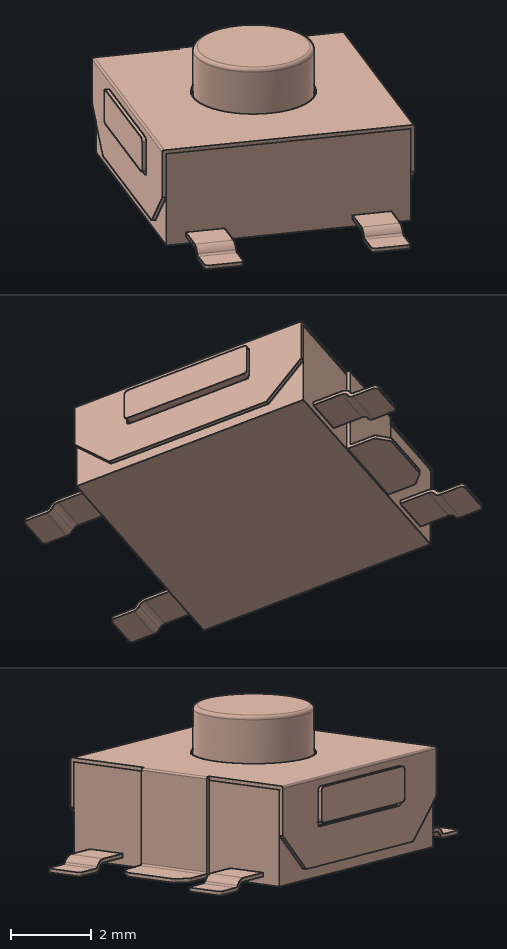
import cadquery as cq
import math


sheet = 0.1
bend_radius = 0.05

cover_size = 6.48
cover_top = 2.55
opening_diameter = 3.1
flap_bottom = 0.3
flap_chamfer = 0.99
window_length = 3.5
window_bottom = 1.29
window_top = 2.3
window_radius = 0.1
strap_width = 2.0
tab_reach = 4.35
tab_chamfer = 0.3
tab_radius = 0.1

housing_length = cover_size
housing_width = cover_size - 2 * sheet
housing_height = cover_top - sheet
boss_span = 6.7
boss_gap = 0.1

button_diameter = 3.0
button_top = 3.75
button_fillet = 0.1

terminal_span = 10.1
terminal_width = 1.0
terminal_offset = 2.14
terminal_lift = 0.2
crest_x = 4.05
foot_radius = 0.1
crest_radius = 0.29
heel_radius = 0.08


def make_rounded_pad(length, bottom, top, inner_y, outer_y):
    """Upright plate with rounded corners, symmetrical in X, from inner_y to outer_y."""
    return (
        cq.Workplane("XY")
        .box(length, outer_y - inner_y, top - bottom, centered=(True, False, False))
        .translate((0, inner_y, bottom))
        .edges("|Y")
        .fillet(window_radius)
    )


def make_housing():
    """Block with a snap boss on each of the two faces under the cover flaps."""
    block = cq.Workplane("XY").box(housing_length, housing_width, housing_height, centered=(True, True, False))
    boss = make_rounded_pad(
        window_length, window_bottom + boss_gap, window_top, housing_width / 2 - sheet, boss_span / 2
    )
    return block.union(boss).union(boss.mirror("XZ"))


def make_channel():
    """Top plate with two side flaps, each with cut-off lower corners."""
    outer = (
        cq.Workplane("XY")
        .box(cover_size, cover_size, cover_top - flap_bottom, centered=(True, True, False))
        .translate((0, 0, flap_bottom))
        .edges("|X and >Z")
        .fillet(bend_radius)
        .edges("|Y and <Z")
        .chamfer(flap_chamfer)
    )
    inner = cq.Workplane("XY").box(cover_size, housing_width, housing_height, centered=(True, True, False))
    return outer.cut(inner)


def make_strap():
    """Strap bent down from the top plate along the housing, ending in a solder tab."""
    inner_x = -cover_size / 2
    outer_x = inner_x - sheet
    strap = (
        cq.Workplane("XZ")
        .moveTo(inner_x + sheet, cover_top)
        .lineTo(outer_x, cover_top)
        .lineTo(outer_x, sheet)
        .lineTo(-tab_reach, sheet)
        .lineTo(-tab_reach, 0)
        .lineTo(inner_x, 0)
        .lineTo(inner_x, housing_height)
        .lineTo(inner_x + sheet, housing_height)
        .close()
        .extrude(strap_width / 2, both=True)
    )
    fold = cq.selectors.NearestToPointSelector((outer_x, 0, cover_top))
    tab_inside = cq.selectors.NearestToPointSelector((outer_x, 0, sheet))
    tab_outside = cq.selectors.NearestToPointSelector((inner_x, 0, 0))
    for bend in (fold, tab_inside, tab_outside):
        strap = strap.edges(bend).fillet(bend_radius)
    strap = strap.edges("|Z and <X").chamfer(tab_chamfer)
    tab_corners = cq.selectors.BoxSelector(
        (-tab_reach - sheet, -strap_width, -sheet), (outer_x - 2 * bend_radius, strap_width, 2 * sheet)
    )
    return strap.edges(tab_corners).edges("|Z").fillet(tab_radius)


def make_cover():
    """Channel and strap in one piece, with the button opening and the snap windows."""
    opening = cq.Workplane("XY").circle(opening_diameter / 2).extrude(cover_top)
    window = make_rounded_pad(window_length, window_bottom, window_top, housing_width / 2, cover_size / 2)
    return make_channel().union(make_strap()).cut(opening).cut(window).cut(window.mirror("XZ"))


def make_button():
    """Round button standing on the housing inside the cover opening."""
    return (
        cq.Workplane("XY", origin=(0, 0, housing_height))
        .circle(button_diameter / 2)
        .extrude(button_top - housing_height)
        .faces(">Z")
        .edges()
        .fillet(button_fillet)
    )


def make_terminal(x_side, y_side):
    """Gull-wing terminal: flat shoulder, S-bend of two equal-angle arcs and flat foot on Z = 0."""
    root = housing_length / 2
    tip = terminal_span / 2
    bend_angle = math.acos(1 - terminal_lift / (crest_radius + heel_radius))
    run = math.sin(bend_angle)
    drop = 1 - math.cos(bend_angle)
    heel_x = crest_x + (crest_radius + heel_radius) * run
    inner_crest = crest_radius - sheet
    upper_middle = (crest_x + crest_radius * run, terminal_lift + sheet - crest_radius * drop)
    lower_middle = (crest_x + inner_crest * run, terminal_lift - inner_crest * drop)
    terminal = (
        cq.Workplane("XZ")
        .moveTo(tip, sheet)
        .lineTo(heel_x, sheet)
        .tangentArcPoint(upper_middle, relative=False)
        .tangentArcPoint((crest_x, terminal_lift + sheet), relative=False)
        .lineTo(root, terminal_lift + sheet)
        .lineTo(root, terminal_lift)
        .lineTo(crest_x, terminal_lift)
        .tangentArcPoint(lower_middle, relative=False)
        .tangentArcPoint((heel_x, 0), relative=False)
        .lineTo(tip, 0)
        .close()
        .extrude(terminal_width / 2, both=True)
        .edges("|Z and >X")
        .fillet(foot_radius)
    )
    if x_side < 0:
        terminal = terminal.mirror("YZ")
    return terminal.translate((0, y_side * terminal_offset, 0))


housing = make_housing()
cover = make_cover()
button = make_button()
terminals = []
for x_side in (-1, 1):
    for y_side in (-1, 1):
        terminals.append(make_terminal(x_side, y_side).val())

result = cq.Compound.makeCompound([housing.val(), cover.val(), button.val(), *terminals])